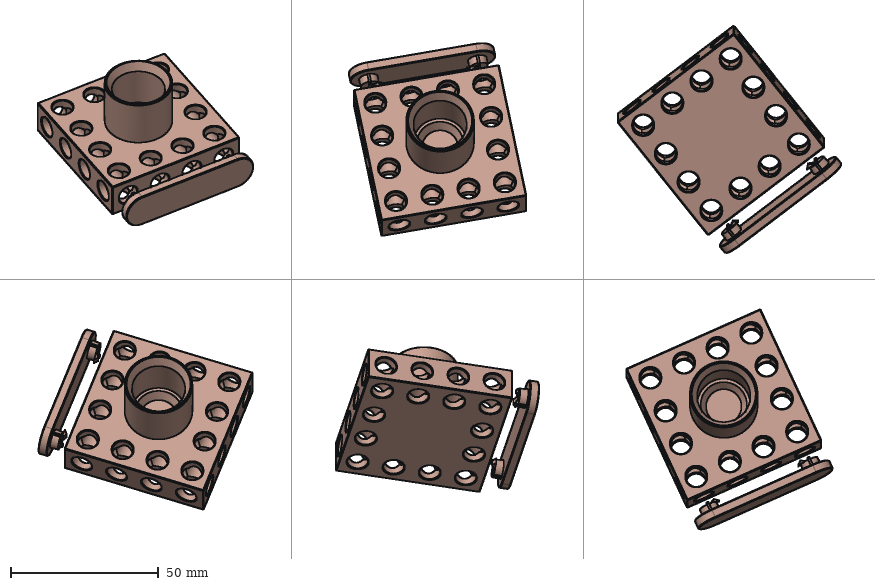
import cadquery as cq

HOLE_COUNT = 4
SIDE = 50.0
PITCH = SIDE / HOLE_COUNT
THICKNESS = PITCH
HOLE_DIAMETER = 7.0
EDGE_CHAMFER = 0.3

TOTAL_HEIGHT = 29.5
BOSS_DIAMETER = 23.0
BORE_DIAMETER = 18.0
FUNNEL_MOUTH_DIAMETER = 21.55
FUNNEL_DEPTH = 2.95
SEAT_MOUTH_DIAMETER = 15.6
SEAT_FLOOR_DIAMETER = 12.0
SEAT_DEPTH = 2.95
CORE_DIAMETER = BORE_DIAMETER

TOTAL_LENGTH = 59.4
COVER_OUTER_X = TOTAL_LENGTH - SIDE / 2
COVER_THICKNESS = 3.2
COVER_INNER_X = COVER_OUTER_X - COVER_THICKNESS
PEG_Y = (SIDE - PITCH) / 2
PEG_LENGTH = 2.75
PEG_TIP_DIAMETER = 6.2
PEG_BASE_DIAMETER = 6.55
RIB_WIDTH = 0.8
RIB_HEIGHT = 6.95
RIB_LENGTH = 3.45
RIB_CHAMFER = 0.4
NOTCH_RADIUS = 3.45
NOTCH_DEPTH = 0.65
HOOK_HEIGHT = 2.1
HOOK_RISE = 1.2
HOOK_APEX_OFFSET = 2.7
HOOK_TIP_OFFSET = 4.1

MID_Z = THICKNESS / 2
HOLE_OFFSETS = [(i - (HOLE_COUNT - 1) / 2) * PITCH for i in range(HOLE_COUNT)]


def cone(bottom_diameter, top_diameter, height, base_z):
    """Truncated cone standing on the Z axis."""
    return cq.Workplane(cq.Solid.makeCone(
        bottom_diameter / 2, top_diameter / 2, height, pnt=cq.Vector(0, 0, base_z)))


def through_hole(length):
    """Cutter along Z, centred on the origin, that leaves chamfered mouths."""
    mouth_radius = HOLE_DIAMETER / 2 + EDGE_CHAMFER
    profile = [
        (0, -length / 2),
        (mouth_radius, -length / 2),
        (HOLE_DIAMETER / 2, -length / 2 + EDGE_CHAMFER),
        (HOLE_DIAMETER / 2, length / 2 - EDGE_CHAMFER),
        (mouth_radius, length / 2),
        (0, length / 2),
    ]
    return cq.Workplane("XZ").polyline(profile).close().revolve(360, (0, 0), (0, 1))


def cut_holes(plate):
    """Vertical holes around the border, and side holes along X and Y."""
    vertical = through_hole(THICKNESS)
    along_x = through_hole(SIDE).rotate((0, 0, 0), (0, 1, 0), 90)
    along_y = through_hole(SIDE).rotate((0, 0, 0), (1, 0, 0), 90)
    border = (HOLE_OFFSETS[0], HOLE_OFFSETS[-1])
    for x in HOLE_OFFSETS:
        plate = plate.cut(along_y.translate((x, 0, MID_Z)))
        plate = plate.cut(along_x.translate((0, x, MID_Z)))
        for y in HOLE_OFFSETS:
            if x in border or y in border:
                plate = plate.cut(vertical.translate((x, y, MID_Z)))
    return plate


def make_housing():
    plate = cq.Workplane("XY").box(SIDE, SIDE, THICKNESS, centered=(True, True, False))
    plate = cut_holes(plate.edges().chamfer(EDGE_CHAMFER))

    core = cq.Workplane("XY").circle(CORE_DIAMETER / 2).extrude(THICKNESS)
    boss_height = TOTAL_HEIGHT - THICKNESS
    boss = cq.Workplane("XY", origin=(0, 0, THICKNESS)).circle(BOSS_DIAMETER / 2).extrude(boss_height)
    boss = boss.faces(">Z").edges().chamfer(EDGE_CHAMFER)

    bore = cq.Workplane("XY", origin=(0, 0, THICKNESS)).circle(BORE_DIAMETER / 2).extrude(boss_height)
    funnel = cone(BORE_DIAMETER, FUNNEL_MOUTH_DIAMETER, FUNNEL_DEPTH, TOTAL_HEIGHT - FUNNEL_DEPTH)
    seat = cone(SEAT_FLOOR_DIAMETER, SEAT_MOUTH_DIAMETER, SEAT_DEPTH, THICKNESS - SEAT_DEPTH)
    return plate.union(core).union(boss).cut(bore).cut(funnel).cut(seat)


def make_peg():
    """Snap peg at y = 0, pointing to -X, with its hook towards -Y."""
    stem = cq.Workplane(cq.Solid.makeCone(
        PEG_BASE_DIAMETER / 2, PEG_TIP_DIAMETER / 2, PEG_LENGTH,
        pnt=cq.Vector(COVER_INNER_X, 0, MID_Z), dir=cq.Vector(-1, 0, 0)))

    rib_end_x = COVER_INNER_X - RIB_LENGTH
    rib = cq.Workplane("XY").box(RIB_LENGTH, RIB_WIDTH, RIB_HEIGHT)
    rib = rib.faces("<X").edges("|Y").chamfer(RIB_CHAMFER)
    rib = rib.translate((COVER_INNER_X - RIB_LENGTH / 2, 0, MID_Z))

    notch_x = rib_end_x + NOTCH_DEPTH - NOTCH_RADIUS
    notch = cq.Workplane("XZ").center(notch_x, MID_Z).circle(NOTCH_RADIUS).extrude(RIB_WIDTH / 2, both=True)

    peg_end_x = COVER_INNER_X - PEG_LENGTH
    hook_profile = [
        (peg_end_x, -HOOK_TIP_OFFSET),
        (peg_end_x - HOOK_RISE, -HOOK_APEX_OFFSET),
        (peg_end_x, -RIB_WIDTH / 2),
    ]
    hook = cq.Workplane("XY", origin=(0, 0, MID_Z)).polyline(hook_profile).close()
    hook = hook.extrude(HOOK_HEIGHT / 2, both=True)
    return stem.union(rib).cut(notch).union(hook)


def make_cover():
    bar = cq.Workplane("YZ", origin=(COVER_INNER_X, 0, MID_Z)).slot2D(SIDE, THICKNESS)
    bar = bar.extrude(COVER_THICKNESS)
    bar = bar.faces("<X or >X").edges().chamfer(EDGE_CHAMFER)
    peg = make_peg().translate((0, PEG_Y, 0))
    return bar.union(peg).union(peg.mirror("XZ"))


housing = make_housing()
cover = make_cover()

result = cq.Compound.makeCompound([housing.val(), cover.val()])